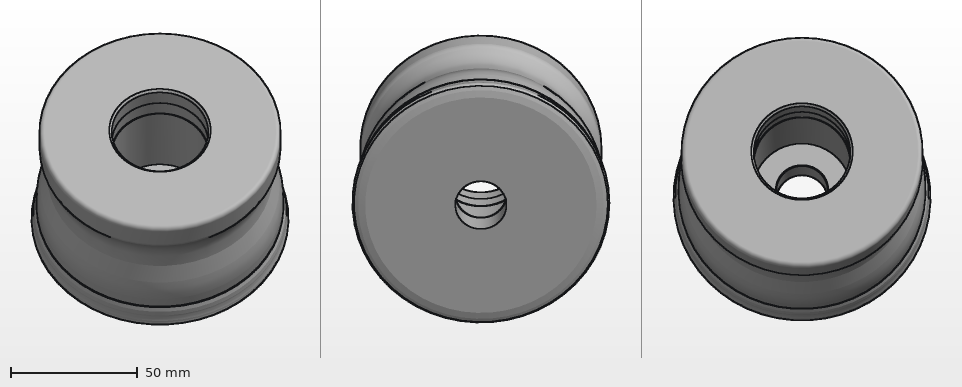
import cadquery as cq
import math

INCH = 25.4

height = 2.5 * INCH
base_radius = 2.0 * INCH
flange_radius = 47.7

bore_radius = 0.75 * INCH
bore_chamfer = 1.0
relief_radius = bore_radius + 0.25
relief_top_z = 47.8
bore_floor_z = 0.5 * INCH
hole_radius = 10.1
hole_chamfer = 0.3

joint_z = 11.9
hub_radius = 1.0 * INCH
hub_top_z = 55.2

top_fillet = 1.9
flange_bottom_z = 53.0
flange_blend_radius = 46.8
flange_blend_z = 50.5
waist_radius = 44.05
waist_z = 40.0
flare_angle = math.radians(18.5)
flare_top_z = 34.0
flare_bottom_z = 26.3
skirt_radius = 48.8
skirt_top_z = 17.0

lip_bottom_z = 11.3
shoulder_radius = 49.65
shoulder_z = 9.5
groove_depth = 0.1
groove_corner_depth = 0.075
groove_top_z = 7.45
groove_floor_top_z = 6.5
groove_floor_bottom_z = 5.5
groove_bottom_z = 4.45
rim_top_radius = 50.65
rim_top_z = 3.6
rim_z = 2.8
rim_bottom_radius = 50.1
rim_bottom_z = 1.4
underside_edge_radius = 48.5
underside_edge_z = 0.7
foot_radius = 45.7


def base_cone_radius(z):
    """Radius of the sloping base side at height z, between the shoulder and the rim."""
    slope = (rim_top_radius - shoulder_radius) / (shoulder_z - rim_top_z)
    return shoulder_radius + slope * (shoulder_z - z)


def groove_floor_radius(z):
    """Radius of the groove floor, parallel to the sloping base side."""
    return base_cone_radius(z) - groove_depth


def revolve(profile):
    """Revolve a closed (radius, z) profile about the Z axis."""
    return profile.close().revolve(360, (0, 0, 0), (0, 1, 0))


def make_cover():
    """Waisted cover with a top flange, hollow inside to receive the hub of the base."""
    flare_bottom_radius = skirt_radius - (flare_bottom_z - skirt_top_z) * math.tan(flare_angle / 2)
    flare_top_radius = flare_bottom_radius - (flare_top_z - flare_bottom_z) * math.tan(flare_angle)
    profile = (
        cq.Workplane("XZ")
        .moveTo(hub_radius, joint_z)
        .lineTo(skirt_radius, joint_z)
        .lineTo(skirt_radius, skirt_top_z)
        .tangentArcPoint((flare_bottom_radius, flare_bottom_z), relative=False)
        .lineTo(flare_top_radius, flare_top_z)
        .threePointArc((waist_radius, waist_z), (flange_blend_radius, flange_blend_z))
    )
    blend_inset = flange_radius - flange_blend_radius
    blend_height = flange_bottom_z - flange_blend_z
    blend_radius = (blend_inset**2 + blend_height**2) / (2 * blend_inset)
    profile = (
        profile
        .radiusArc((flange_radius, flange_bottom_z), -blend_radius)
        .lineTo(flange_radius, height - top_fillet)
        .tangentArcPoint((flange_radius - top_fillet, height), relative=False)
        .lineTo(bore_radius + bore_chamfer, height)
        .lineTo(bore_radius, height - bore_chamfer)
        .lineTo(bore_radius, hub_top_z)
        .lineTo(hub_radius, hub_top_z)
    )
    return revolve(profile)


def make_base():
    """Grooved, flared base with a central hub carrying the lower part of the bore."""
    side = (
        cq.Workplane("XZ")
        .moveTo(hole_radius, 0)
        .lineTo(foot_radius, 0)
        .lineTo(underside_edge_radius, underside_edge_z)
        .lineTo(rim_bottom_radius, rim_bottom_z)
        .threePointArc((base_radius, rim_z), (rim_top_radius, rim_top_z))
    )
    floor_bottom = (groove_floor_radius(groove_floor_bottom_z), groove_floor_bottom_z)
    floor_top = (groove_floor_radius(groove_floor_top_z), groove_floor_top_z)
    lower_corner_z = (groove_bottom_z + groove_floor_bottom_z) / 2
    upper_corner_z = (groove_top_z + groove_floor_top_z) / 2
    side = (
        side
        .lineTo(base_cone_radius(groove_bottom_z), groove_bottom_z)
        .threePointArc((base_cone_radius(lower_corner_z) - groove_corner_depth, lower_corner_z), floor_bottom)
        .lineTo(*floor_top)
        .threePointArc(
            (base_cone_radius(upper_corner_z) - groove_corner_depth, upper_corner_z),
            (base_cone_radius(groove_top_z), groove_top_z),
        )
    )
    profile = (
        side
        .lineTo(shoulder_radius, shoulder_z)
        .lineTo(skirt_radius, lip_bottom_z)
        .lineTo(skirt_radius, joint_z)
        .lineTo(hub_radius, joint_z)
        .lineTo(hub_radius, hub_top_z)
        .lineTo(bore_radius, hub_top_z)
        .lineTo(bore_radius, relief_top_z)
        .lineTo(relief_radius, relief_top_z)
        .lineTo(relief_radius, bore_floor_z)
        .lineTo(hole_radius + hole_chamfer, bore_floor_z)
        .lineTo(hole_radius, bore_floor_z - hole_chamfer)
    )
    return revolve(profile)


cover = make_cover()
base = make_base()

result = cq.Compound.makeCompound([cover.val(), base.val()])